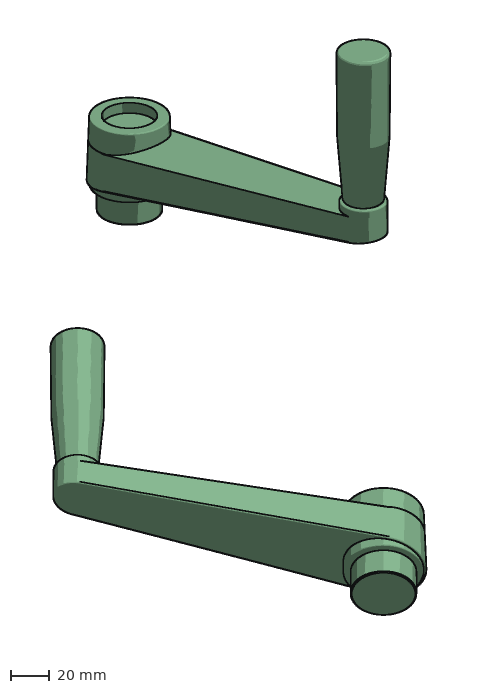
import cadquery as cq
import math

crank_length = 160.0

hub_height = 40.0
hub_top_diameter = 41.7
hub_foot_diameter = 41.6
hub_rim_fillet = 0.8
hub_draft = 2.0
recess_diameter = 28.6
recess_depth = 6.0

boss_diameter = 34.0
boss_height = 15.0
boss_chamfer = 0.6

arm_end_radius = 12.5
arm_end_draft = 0.5
arm_underside_fillet = 0.9
arm_crown_fillet = 0.6
underside_start = 4.1
underside_slope = 0.133
side_edge_start = 26.3
side_edge_end = 41.3
crown_rise_start = 2.9
crown_rise_end = 1.7

pad_diameter = 2 * arm_end_radius
pad_top = 45.6
pad_height = 8.0
pad_fillet = 1.0

handle_top = 132.26
handle_bottom_diameter = 21.4
handle_bottom_fillet = 1.2
handle_grip_length = 50.0
handle_grip_diameter = 27.2
handle_top_diameter = 28.0
handle_top_fillet = 2.0

hub_top_radius = hub_top_diameter / 2
hub_spread = math.tan(math.radians(hub_draft))
arm_end_spread = math.tan(math.radians(arm_end_draft))
trim_length_margin = 5.0
trim_side_margin = 1.0


def hub_radius(z):
    """Radius of the drafted hub at height z."""
    return hub_top_radius + (hub_height - z) * hub_spread


def end_radius(z):
    """Radius of the arm's drafted round end at height z."""
    return arm_end_radius + (side_edge_end - z) * arm_end_spread


def arm_outline(z):
    """Hub circle and end circle joined by their two tangent lines."""
    start_radius = hub_radius(z)
    stop_radius = end_radius(z)
    sine = (start_radius - stop_radius) / crank_length
    cosine = math.sqrt(1 - sine**2)
    start = (start_radius * sine, start_radius * cosine)
    end = (crank_length + stop_radius * sine, stop_radius * cosine)
    return (
        cq.Workplane("XY", origin=(0, 0, z))
        .moveTo(*start)
        .lineTo(*end)
        .threePointArc((crank_length + stop_radius, 0), (end[0], -end[1]))
        .lineTo(start[0], -start[1])
        .threePointArc((-start_radius, 0), start)
        .close()
        .val()
    )


def along(start, end, x):
    """Value at x of a line running from the hub axis to the handle axis."""
    return start + (end - start) * x / crank_length


def crown_section(x):
    """Cross-section at x: flat sloping bottom, upright sides and an arched top."""
    half_width = along(hub_radius(side_edge_start), arm_end_radius, x)
    edge = along(side_edge_start, side_edge_end, x)
    rise = along(crown_rise_start, crown_rise_end, x)
    arch_radius = (half_width**2 + rise**2) / (2 * rise)
    reach = half_width + trim_side_margin
    shoulder = edge + rise - arch_radius + math.sqrt(arch_radius**2 - reach**2)
    bottom = underside_start + underside_slope * x
    return (
        cq.Workplane("YZ", origin=(x, 0, 0))
        .moveTo(-reach, bottom)
        .lineTo(-reach, shoulder)
        .threePointArc((0, edge + rise), (reach, shoulder))
        .lineTo(reach, bottom)
        .close()
        .val()
    )


def make_arm_beam(outline):
    """Part of the outline reaching out from the hub, with a crowned top and rounded side edges."""
    span_end = crank_length + arm_end_radius + trim_length_margin
    trim = cq.Solid.makeLoft([crown_section(0), crown_section(span_end)], True)
    beam = cq.Workplane(outline).intersect(cq.Workplane(trim))
    edge_height = (side_edge_start + side_edge_end) / 2
    side_edges = []
    for side in (-1, 1):
        edge_middle = (crank_length / 2, side * hub_top_radius, edge_height)
        side_edges += beam.edges(cq.selectors.NearestToPointSelector(edge_middle)).vals()
    return beam.newObject(side_edges).fillet(arm_crown_fillet)


def make_hub_wrap(outline):
    """Part of the outline wrapping the hub, between the sloping underside and the collar."""
    reach = hub_radius(0) + trim_length_margin
    trim = (
        cq.Workplane("XZ", origin=(0, reach, 0))
        .moveTo(0, underside_start)
        .lineTo(-reach, underside_start - underside_slope * reach)
        .lineTo(-reach, side_edge_start)
        .lineTo(0, side_edge_start)
        .close()
        .extrude(2 * reach)
    )
    return cq.Workplane(outline).intersect(trim)


def make_arm():
    """Drafted arm with the wrap around its hub, rounded along the underside."""
    outline = cq.Solid.makeLoft([arm_outline(0), arm_outline(pad_top)], True)
    arm = make_hub_wrap(outline).union(make_arm_beam(outline))
    return arm.faces("<Z").edges().fillet(arm_underside_fillet)


def make_hub():
    """Plain core, drafted collar above the arm's side edge, and lower boss."""
    core = cq.Workplane("XY").circle(hub_foot_diameter / 2).extrude(side_edge_start)
    core = core.faces("<Z").edges().fillet(hub_rim_fillet)
    collar = cq.Workplane(
        cq.Solid.makeCone(
            hub_radius(side_edge_start),
            hub_top_radius,
            hub_height - side_edge_start,
            cq.Vector(0, 0, side_edge_start),
        )
    )
    boss = cq.Workplane("XY").circle(boss_diameter / 2).extrude(-boss_height)
    boss = boss.faces("<Z").edges().chamfer(boss_chamfer)
    return core.union(collar).faces(">Z").edges().fillet(hub_rim_fillet).union(boss)


def make_pad():
    """Round seat under the handle."""
    pad = (
        cq.Workplane("XY", origin=(crank_length, 0, pad_top - pad_height))
        .circle(pad_diameter / 2)
        .extrude(pad_height)
    )
    return pad.faces(">Z").edges().fillet(pad_fillet)


def make_crank():
    recess = (
        cq.Workplane("XY", origin=(0, 0, hub_height))
        .circle(recess_diameter / 2)
        .extrude(-recess_depth)
    )
    return make_arm().union(make_pad()).union(make_hub()).cut(recess)


def make_handle():
    """Turned grip standing on the pad."""
    bottom_radius = handle_bottom_diameter / 2
    top_radius = handle_top_diameter / 2
    profile = (
        cq.Workplane("XZ")
        .moveTo(0, pad_top)
        .lineTo(bottom_radius, pad_top)
        .lineTo(handle_grip_diameter / 2, handle_top - handle_grip_length)
        .lineTo(top_radius, handle_top)
        .lineTo(0, handle_top)
        .close()
    )
    handle = profile.revolve(360, (0, 0, 0), (0, 1, 0))
    handle = handle.faces(">Z").edges().fillet(handle_top_fillet)
    handle = handle.faces("<Z").edges().fillet(handle_bottom_fillet)
    return handle.translate((crank_length, 0, 0))


crank = make_crank()
handle = make_handle()
result = cq.Compound.makeCompound([crank.val(), handle.val()])